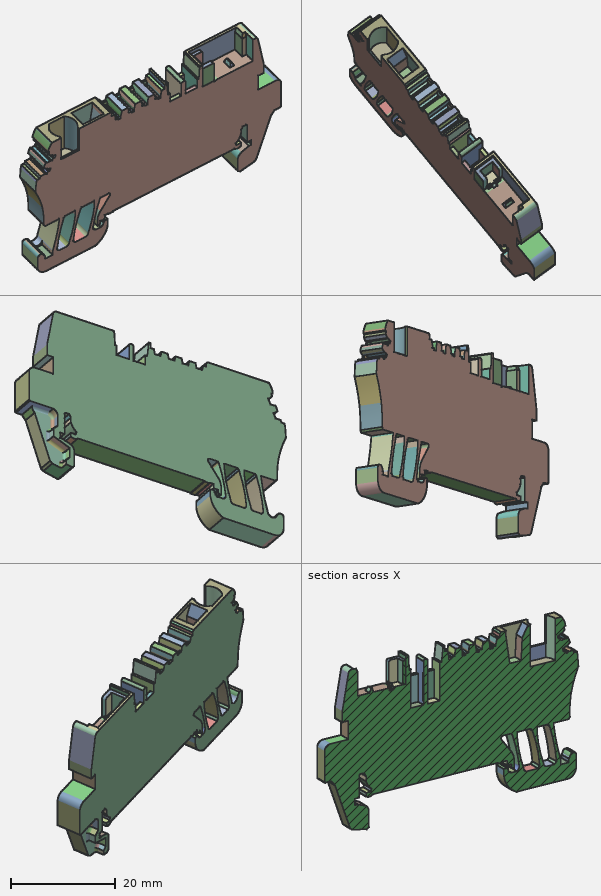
import cadquery as cq
import math

THICKNESS = 5.1
LENGTH = 58.0
HEIGHT = 34.05

RAIL_FACE_Z = 6.95
REAR_UNDERSIDE_Z = 11.85
LATCH_ROOF_Z = 12.35
RIDGE_Z = 32.95
MARKER_FLOOR_Z = 31.9
JUMPER_FLOOR_Z = 28.75
JUMPER_SHOULDER_Z = 30.9

SLOT_COUNT = 4
SLOT_PITCH = 3.15
FIRST_SLOT_Y = 28.95
SLOT_HALF_TOP = 0.85
SLOT_HALF_FLOOR = 0.65
SLOT_YS = [FIRST_SLOT_Y - i * SLOT_PITCH for i in range(SLOT_COUNT)]

FRONT_SEATS = [((4.05, 30.5), (3.5, 29.3)), ((2.85, 27.55), (2.3, 26.5))]

LIP_FLAT = 0.4
LIP_END = 0.75
MARKER_RECESS_DEPTH = 0.45
MARKER_STEP_DEPTH = 0.8

WELL_REAR_Y = 38.2
WEB_REAR_Y = 35.45
WEB_FRONT_Y = 34.4
WELL_FRONT_Y = 31.8
WEB_TOP_Z = 32.35
WEB_SHOULDER_Z = 32.0
WELL_X = (0.8, 4.3)
WELL_BOTTOM_DEPTH = 5.8

LATCH_WINDOWS = [(13.9, 3.0, 3.55), (9.4, 2.45, 2.85)]
WINDOW_FLOOR_Z = 3.8
STRUT_FOOT_Z = 4.5
STRUT_SWEEP = 1.45

FOOT_RECESS_DEPTH = 1.8
FOOT_RECESS_FILLET = 0.5
FOOT_RECESS_OVERRUN = 1.15

POCKET_X = 0.6
POCKET_FRONT_Y = 39.45
POCKET_REAR_Y = 51.35
POCKET_DEPTH = 5.8
POCKET_FLOOR_Z = HEIGHT - POCKET_DEPTH
CORNER_POST_X = 2.95
CORNER_POST_Y = 50.35
CORNER_CHAMFER_SIDE = 0.4
CORNER_CHAMFER_HEIGHT = 0.9

STUD_X = (2.0, 4.0)
STUD_Y = (46.7, 47.75)
STUD_HEIGHT = 0.85
STUD_TOP_LENGTH = 1.35
STUD_TOP_WIDTH = 0.25

ENTRY_X = (0.8, 4.6)
ENTRY_MOUTH_Y = (11.6, 16.55)
ENTRY_FLOOR_Y = (13.15, 15.65)
ENTRY_STRAIGHT_DEPTH = 1.15
ENTRY_SLOPE_FOOT = (12.95, 31.7)
ENTRY_DEPTH = 6.95
DRIVER_X = 2.85
DRIVER_Y = 8.2
DRIVER_RADIUS = 2.8
DRIVER_FLAT_X = 0.7
DRIVER_DEPTH = 8.7
DRIVER_WINDOW_X = 4.7
DRIVER_WINDOW_WIDTH = 4.3
DRIVER_WINDOW_DEPTH = 5.8

INSERT_REAR_Y = 42.2
INSERT_TOP_Z = 33.1
INSERT_ROUND = 0.45
INSERT_BORE_X = (1.3, 4.25)
INSERT_BORE_FRONT_Y = 40.15
LIP_FOOT_Y = 41.95
LIP_CREST_Y = 42.4
LIP_REAR_Y = 42.7
LIP_HEIGHT = 0.6
SLIT_X = (2.3, 3.25)
SLIT_REAR_Y = 43.1
SLIT_DEPTH = 0.6
FLOOR_CURVE_REAR_Y = 43.15
FLOOR_CURVE_DROP = 0.3

BOWL_RELIEF_X = 1.7
BOWL_RELIEF_Y = (2.25, 4.05)
BOWL_RELIEF_Z = (3.5, 4.6)


def box(x_range, y_range, z_range):
    """Box between the given coordinate limits."""
    size = [high - low for low, high in (x_range, y_range, z_range)]
    corner = (x_range[0], y_range[0], z_range[0])
    return cq.Workplane("XY").box(*size, centered=False).translate(corner)


def prism(points, x_range):
    """Polygon of (y, z) points extruded along X."""
    plane = cq.Workplane("YZ", origin=(x_range[0], 0, 0))
    return plane.polyline(points).close().extrude(x_range[1] - x_range[0])


def rear_top_outline(sketch):
    """Rear end from the underside up over the top edge to the jumper wells."""
    return (
        sketch.lineTo(57.8, REAR_UNDERSIDE_Z)
        .lineTo(LENGTH, 12.05)
        .lineTo(LENGTH, 18.55)
        .threePointArc((57.55, 19.4), (56.5, 19.7))
        .lineTo(52.55, 19.7)
        .lineTo(52.55, 23.5)
        .lineTo(53.95, 23.5)
        .lineTo(53.95, 25.85)
        .lineTo(52.55, 33.45)
        .threePointArc((52.25, 33.9), (51.7, HEIGHT))
        .lineTo(38.9, HEIGHT)
        .lineTo(38.75, 33.8)
        .lineTo(38.55, JUMPER_SHOULDER_Z)
    )


def jumper_outline(sketch):
    """Two deep slots with the round-topped web between them."""
    web_middle = (WEB_REAR_Y + WEB_FRONT_Y) / 2
    return (
        sketch.lineTo(WELL_REAR_Y, JUMPER_SHOULDER_Z)
        .lineTo(WELL_REAR_Y, JUMPER_FLOOR_Z)
        .lineTo(WEB_REAR_Y, JUMPER_FLOOR_Z)
        .lineTo(WEB_REAR_Y, WEB_SHOULDER_Z)
        .threePointArc((web_middle, WEB_TOP_Z), (WEB_FRONT_Y, WEB_SHOULDER_Z))
        .lineTo(WEB_FRONT_Y, JUMPER_FLOOR_Z)
        .lineTo(WELL_FRONT_Y, JUMPER_FLOOR_Z)
        .lineTo(WELL_FRONT_Y, JUMPER_SHOULDER_Z)
        .lineTo(31.3, JUMPER_SHOULDER_Z)
        .lineTo(31.0, HEIGHT)
        .lineTo(30.5, HEIGHT)
        .lineTo(30.5, RIDGE_Z)
    )


def marker_row_outline(sketch):
    """Trapezoidal marker slots along the top edge."""
    for y in SLOT_YS:
        sketch = (
            sketch.lineTo(y + SLOT_HALF_TOP, RIDGE_Z)
            .lineTo(y + SLOT_HALF_FLOOR, MARKER_FLOOR_Z)
            .lineTo(y - SLOT_HALF_FLOOR, MARKER_FLOOR_Z)
            .lineTo(y - SLOT_HALF_TOP, RIDGE_Z)
        )
    return sketch.lineTo(18.05, RIDGE_Z).lineTo(18.05, 33.7).lineTo(17.7, HEIGHT)


def front_outline(sketch):
    """Stepped front end with two slanted marker seats and a hollow lower flank."""
    upper_seat, lower_seat = FRONT_SEATS
    return (
        sketch.lineTo(3.9, HEIGHT)
        .lineTo(3.7, 33.8)
        .threePointArc((3.3, 33.1), (3.0, 32.4))
        .lineTo(2.95, 31.95)
        .lineTo(3.3, 31.8)
        .lineTo(3.15, 31.2)
        .lineTo(3.65, 30.55)
        .lineTo(*upper_seat[0])
        .lineTo(*upper_seat[1])
        .lineTo(2.7, 29.3)
        .lineTo(2.45, 29.45)
        .lineTo(2.15, 28.95)
        .lineTo(1.9, 28.25)
        .lineTo(2.45, 27.8)
        .lineTo(*lower_seat[0])
        .lineTo(*lower_seat[1])
        .lineTo(1.2, 26.5)
        .lineTo(1.0, 26.0)
        .lineTo(0.35, 26.0)
        .lineTo(0.2, 25.3)
        .lineTo(0.0, 22.9)
        .threePointArc((1.0, 20.3), (1.7, 17.5))
        .threePointArc((1.9, 15.4), (2.0, 12.8))
        .lineTo(2.25, LATCH_ROOF_Z)
    )


def latch_outline(sketch):
    """Spring latch at the front foot, hanging on curved struts."""
    return (
        sketch.lineTo(5.6, LATCH_ROOF_Z)
        .lineTo(5.6, 12.0)
        .threePointArc((5.0, 8.2), (4.1, 4.75))
        .threePointArc((3.1, 3.8), (2.1, 4.5))
        .threePointArc((1.85, 5.0), (1.45, 5.3))
        .lineTo(1.0, 5.3)
        .threePointArc((0.65, 5.05), (0.5, 4.6))
        .lineTo(0.5, 1.9)
        .threePointArc((1.15, 0.6), (2.5, 0.0))
        .lineTo(14.15, 0.0)
        .threePointArc((16.25, 1.75), (17.1, 4.05))
        .lineTo(17.1, 5.45)
        .lineTo(16.35, 5.55)
        .lineTo(16.05, 5.2)
        .threePointArc((15.9, 4.7), (15.4, 4.35))
        .lineTo(14.15, 4.35)
        .threePointArc((13.75, 4.7), (13.65, 5.4))
        .threePointArc((14.25, 8.9), (15.15, 11.95))
        .lineTo(15.35, LATCH_ROOF_Z)
        .lineTo(17.35, LATCH_ROOF_Z)
        .threePointArc((17.65, 12.05), (17.5, 11.6))
        .lineTo(15.3, 8.7)
        .threePointArc((14.8, 7.65), (14.7, 6.4))
        .lineTo(14.7, 5.05)
        .lineTo(15.1, 5.05)
        .lineTo(15.3, 5.4)
        .lineTo(15.3, 6.0)
        .lineTo(16.35, 6.0)
        .lineTo(16.35, RAIL_FACE_Z)
        .lineTo(17.2, RAIL_FACE_Z)
        .lineTo(17.2, 6.8)
        .lineTo(18.4, 6.8)
        .lineTo(18.4, RAIL_FACE_Z)
    )


def fixed_foot_outline(sketch):
    """Rail hook at the rear foot with a relief slot behind it."""
    return (
        sketch.lineTo(47.0, RAIL_FACE_Z)
        .threePointArc((47.85, 6.6), (48.55, 6.9))
        .lineTo(48.55, 7.7)
        .lineTo(47.45, 7.7)
        .lineTo(47.25, 8.25)
        .threePointArc((48.2, 9.3), (48.55, 10.1))
        .lineTo(48.55, 11.15)
        .lineTo(48.95, REAR_UNDERSIDE_Z)
        .lineTo(49.75, REAR_UNDERSIDE_Z)
        .lineTo(50.0, 11.6)
        .lineTo(50.0, RAIL_FACE_Z)
        .lineTo(51.0, RAIL_FACE_Z)
        .lineTo(51.0, 5.75)
        .lineTo(50.4, 5.75)
        .lineTo(48.6, 5.05)
        .threePointArc((48.0, 4.5), (47.8, 3.7))
        .lineTo(47.8, 0.4)
        .lineTo(48.3, 0.0)
        .lineTo(51.6, 0.7)
        .lineTo(52.15, 1.1)
        .lineTo(55.6, 10.85)
        .lineTo(56.45, REAR_UNDERSIDE_Z)
    )


def latch_window(rear_y, top_width, floor_width):
    """Opening between two curved latch struts."""
    front_y = rear_y - top_width
    rear_foot_y = rear_y - STRUT_SWEEP
    front_foot_y = rear_foot_y - floor_width
    return (
        cq.Workplane("YZ")
        .moveTo(rear_y, LATCH_ROOF_Z)
        .lineTo(rear_y, 11.15)
        .threePointArc((rear_y - 0.6, 7.55), (rear_foot_y, STRUT_FOOT_Z))
        .threePointArc((rear_foot_y - 0.25, 4.0), (rear_foot_y - 0.65, WINDOW_FLOOR_Z))
        .lineTo(front_foot_y + 0.4, WINDOW_FLOOR_Z)
        .lineTo(front_foot_y, 4.3)
        .threePointArc((front_foot_y + 0.5, 7.9), (front_y - 0.3, 11.95))
        .lineTo(front_y, LATCH_ROOF_Z)
        .close()
        .extrude(THICKNESS)
    )


def housing_plate():
    """Full-thickness plate with the complete side outline."""
    sketch = cq.Workplane("YZ").moveTo(56.45, REAR_UNDERSIDE_Z)
    for section in (
        rear_top_outline,
        jumper_outline,
        marker_row_outline,
        front_outline,
        latch_outline,
        fixed_foot_outline,
    ):
        sketch = section(sketch)
    plate = sketch.close().extrude(THICKNESS)
    for window in LATCH_WINDOWS:
        plate = plate.cut(latch_window(*window))
    return plate


def foot_recess():
    """Stepped recess in the -X side of the fixed foot, with a filleted floor."""
    outside_y = LENGTH + FOOT_RECESS_OVERRUN
    outside_z = -FOOT_RECESS_OVERRUN
    cutter = (
        cq.Workplane("YZ")
        .moveTo(outside_y, REAR_UNDERSIDE_Z)
        .lineTo(52.55, REAR_UNDERSIDE_Z)
        .threePointArc((51.85, 11.35), (51.5, 10.55))
        .lineTo(51.5, 8.35)
        .lineTo(52.5, 7.4)
        .lineTo(52.5, 5.6)
        .lineTo(48.85, 4.2)
        .lineTo(48.85, 2.05)
        .lineTo(49.6, 1.35)
        .lineTo(49.6, outside_z)
        .lineTo(outside_y, outside_z)
        .close()
        .extrude(FOOT_RECESS_DEPTH)
    )
    return cutter.faces(">X").edges().fillet(FOOT_RECESS_FILLET)


def marker_recess(middle_y, middle_z, tilt):
    """Stepped recess below a marker slot floor whose front edge dips by `tilt` degrees."""
    half = SLOT_HALF_FLOOR
    side = [
        (LIP_FLAT, 0),
        (THICKNESS, 0),
        (THICKNESS, -MARKER_RECESS_DEPTH),
        (LIP_END, -MARKER_RECESS_DEPTH),
    ]
    recess = cq.Workplane("XZ", origin=(0, half, 0)).polyline(side).close().extrude(2 * half)
    step = box((LIP_END, THICKNESS), (0, half), (-MARKER_STEP_DEPTH, 0))
    cutter = recess.union(step).rotate((0, 0, 0), (1, 0, 0), tilt)
    return cutter.translate((0, middle_y, middle_z))


def marker_recesses():
    """Recesses of the top row and of the two front seats."""
    cutters = [marker_recess(y, MARKER_FLOOR_Z, 0) for y in SLOT_YS]
    for (rear_y, rear_z), (front_y, front_z) in FRONT_SEATS:
        tilt = math.degrees(math.atan2(rear_z - front_z, rear_y - front_y))
        cutters.append(marker_recess((rear_y + front_y) / 2, (rear_z + front_z) / 2, tilt))
    return cutters


def jumper_wells():
    """Deep wells below the jumper slots."""
    depth = (JUMPER_FLOOR_Z - WELL_BOTTOM_DEPTH, JUMPER_FLOOR_Z)
    return [
        box(WELL_X, (WEB_REAR_Y, WELL_REAR_Y), depth),
        box(WELL_X, (WELL_FRONT_Y, WEB_FRONT_Y), depth),
    ]


def wire_entry():
    """Funnel with a steep slope at its rear and a gentler slope at its front."""
    front_y, rear_y = ENTRY_MOUTH_Y
    floor_front_y, floor_rear_y = ENTRY_FLOOR_Y
    floor_z = HEIGHT - ENTRY_DEPTH
    points = [
        (rear_y, HEIGHT),
        (rear_y, HEIGHT - ENTRY_STRAIGHT_DEPTH),
        (floor_rear_y, floor_z),
        (floor_front_y, floor_z),
        ENTRY_SLOPE_FOOT,
        (front_y, HEIGHT),
    ]
    return prism(points, ENTRY_X)


def driver_hole():
    """Round screwdriver hole, flattened on its -X side and breaking out through the +X side."""
    floor_z = HEIGHT - DRIVER_DEPTH
    round_hole = (
        cq.Workplane("XY", origin=(DRIVER_X, DRIVER_Y, floor_z))
        .circle(DRIVER_RADIUS)
        .extrude(DRIVER_DEPTH)
    )
    reach = (DRIVER_Y - DRIVER_RADIUS, DRIVER_Y + DRIVER_RADIUS)
    flats = box((DRIVER_FLAT_X, DRIVER_WINDOW_X), reach, (floor_z, HEIGHT))
    round_hole = round_hole.intersect(flats)
    half = DRIVER_WINDOW_WIDTH / 2
    window = box(
        (DRIVER_WINDOW_X, THICKNESS),
        (DRIVER_Y - half, DRIVER_Y + half),
        (HEIGHT - DRIVER_WINDOW_DEPTH, HEIGHT),
    )
    return round_hole.union(window)


def marker_pocket():
    """Pocket around the chamfered corner post and the tapered stud."""
    pocket = box(
        (POCKET_X, THICKNESS), (POCKET_FRONT_Y, POCKET_REAR_Y), (POCKET_FLOOR_Z, HEIGHT)
    )
    post = box(
        (POCKET_X, CORNER_POST_X), (CORNER_POST_Y, POCKET_REAR_Y), (POCKET_FLOOR_Z, HEIGHT)
    )
    top_edges = post.faces(">Z").edges(">X or <Y")
    post = top_edges.chamfer(CORNER_CHAMFER_HEIGHT, CORNER_CHAMFER_SIDE)
    stud = (
        cq.Workplane("XY", origin=(sum(STUD_X) / 2, sum(STUD_Y) / 2, POCKET_FLOOR_Z))
        .rect(STUD_X[1] - STUD_X[0], STUD_Y[1] - STUD_Y[0])
        .workplane(offset=STUD_HEIGHT)
        .rect(STUD_TOP_LENGTH, STUD_TOP_WIDTH)
        .loft()
    )
    return pocket.cut(post).cut(stud)


def pocket_floor_curve():
    """Floor of the pocket curving down to the rear of the insert, with a notch behind its slit."""
    curve = (
        cq.Workplane("YZ", origin=(POCKET_X, 0, 0))
        .moveTo(FLOOR_CURVE_REAR_Y, POCKET_FLOOR_Z)
        .threePointArc(
            ((FLOOR_CURVE_REAR_Y + INSERT_REAR_Y) / 2, POCKET_FLOOR_Z - FLOOR_CURVE_DROP / 4),
            (INSERT_REAR_Y, POCKET_FLOOR_Z - FLOOR_CURVE_DROP),
        )
        .lineTo(INSERT_REAR_Y, POCKET_FLOOR_Z)
        .close()
        .extrude(THICKNESS - POCKET_X)
    )
    notch_z = (POCKET_FLOOR_Z - SLIT_DEPTH, POCKET_FLOOR_Z)
    return curve.union(box(SLIT_X, (INSERT_REAR_Y, SLIT_REAR_Y), notch_z))


def bowl_relief():
    """Box cut into the bowl, leaving the bowl unchanged near its -X end."""
    return box((BOWL_RELIEF_X, THICKNESS), BOWL_RELIEF_Y, BOWL_RELIEF_Z)


def make_housing():
    """Plate-shaped housing with all of its recesses."""
    housing = housing_plate().cut(foot_recess())
    single_cutters = [
        wire_entry(),
        driver_hole(),
        marker_pocket(),
        pocket_floor_curve(),
        bowl_relief(),
    ]
    for cutter in marker_recesses() + jumper_wells() + single_cutters:
        housing = housing.cut(cutter)
    return housing


def make_insert():
    """U-shaped block open at the top, closed at the rear only by a slit low lip."""
    block = box(
        (POCKET_X, THICKNESS), (POCKET_FRONT_Y, INSERT_REAR_Y), (POCKET_FLOOR_Z, INSERT_TOP_Z)
    )
    block = block.edges(">Y and >Z").fillet(INSERT_ROUND)
    bore = box(
        INSERT_BORE_X, (INSERT_BORE_FRONT_Y, INSERT_REAR_Y), (POCKET_FLOOR_Z, INSERT_TOP_Z)
    )
    lip_top_z = POCKET_FLOOR_Z + LIP_HEIGHT
    lip_profile = [
        (LIP_REAR_Y, POCKET_FLOOR_Z),
        (LIP_REAR_Y, lip_top_z),
        (LIP_CREST_Y, lip_top_z),
        (LIP_FOOT_Y, POCKET_FLOOR_Z),
    ]
    lip = prism(lip_profile, INSERT_BORE_X)
    slit = box(SLIT_X, (INSERT_BORE_FRONT_Y, LIP_REAR_Y), (POCKET_FLOOR_Z, lip_top_z))
    return block.cut(bore).union(lip.cut(slit))


housing = make_housing()
insert = make_insert()
result = cq.Compound.makeCompound([housing.val(), insert.val()])